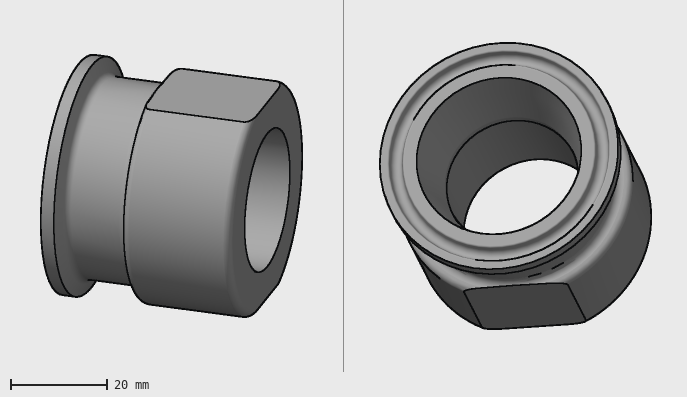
import cadquery as cq
import math

total_length = 41.25
flange_rim_width = 2.85
body_start = 17.55

flange_radius = 50.4 / 2
neck_radius = 42.6 / 2
body_radius = 49.5 / 2
half_across_flats = 44.35 / 2
fillet_radius = 1.6
flange_back_slope = 20.0

mouth_radius = 34.8 / 2
throat_radius = 28.1 / 2
taper_length = 14.2
throat_end = 16.05
socket_radius = 30.25 / 2

groove_center_radius = 21.8
groove_half_width = 1.8
groove_edge_radius = 0.4
groove_floor_radius = 1.25
groove_wall_angle = 20.0


def arc_point(center, radius, angle_degrees):
    """Point on a circle in the (X, radius) half-plane, angle measured from +X."""
    angle = math.radians(angle_degrees)
    return (
        center[0] + radius * math.cos(angle),
        center[1] + radius * math.sin(angle),
    )


def add_arc(profile, center, radius, start_angle, end_angle):
    """Draw a line to the arc's start, then the arc to its end."""
    return profile.lineTo(*arc_point(center, radius, start_angle)).threePointArc(
        arc_point(center, radius, (start_angle + end_angle) / 2),
        arc_point(center, radius, end_angle),
    )


def revolve_about_x(profile):
    return profile.close().revolve(360, (0, 0, 0), (1, 0, 0))


def make_outside():
    """Flange, neck and round body as one revolved solid."""
    neck_blend_r = neck_radius + fillet_radius
    body_blend_r = body_radius - fillet_radius
    slope = math.radians(flange_back_slope)
    cone_rise = flange_radius - neck_blend_r
    neck_start = flange_rim_width + (fillet_radius + cone_rise * math.sin(slope)) / math.cos(slope)
    profile = (
        cq.Workplane("XY")
        .lineTo(0, flange_radius)
        .lineTo(flange_rim_width, flange_radius)
    )
    blends = (
        ((neck_start, neck_blend_r), 180 + flange_back_slope, 270),
        ((body_start - fillet_radius, neck_blend_r), -90, 0),
        ((body_start + fillet_radius, body_blend_r), 180, 90),
        ((total_length - fillet_radius, body_blend_r), 90, 0),
    )
    for center, start_angle, end_angle in blends:
        profile = add_arc(profile, center, fillet_radius, start_angle, end_angle)
    return revolve_about_x(profile.lineTo(total_length, 0))


def cut_flats(part):
    """Two wrench flats, on the +Z and -Z sides of the body."""
    slab_start = body_start - fillet_radius
    slab_thickness = body_radius
    slab = cq.Workplane("XY").box(
        total_length - slab_start,
        2 * flange_radius,
        slab_thickness,
        centered=(False, True, True),
    )
    for side in (1, -1):
        slab_z = side * (half_across_flats + slab_thickness / 2)
        part = part.cut(slab.translate((slab_start, 0, slab_z)))
    return part


def make_bore():
    """Tapered entry blended into a short throat, then a wider socket."""
    taper_angle = math.degrees(math.atan2(mouth_radius - throat_radius, taper_length))
    blend_half_length = fillet_radius * math.tan(math.radians(taper_angle / 2))
    blend_center = (taper_length + blend_half_length, throat_radius + fillet_radius)
    profile = cq.Workplane("XY").lineTo(0, mouth_radius)
    profile = add_arc(profile, blend_center, fillet_radius, 270 - taper_angle, 270)
    profile = (
        profile
        .lineTo(throat_end, throat_radius)
        .lineTo(throat_end, socket_radius)
        .lineTo(total_length, socket_radius)
        .lineTo(total_length, 0)
    )
    return revolve_about_x(profile)


def make_groove():
    """Gasket groove with rounded edges, sloping walls and a round floor."""
    angle = math.radians(groove_wall_angle)
    radii_sum = groove_edge_radius + groove_floor_radius
    wall_length = (groove_half_width - radii_sum * math.cos(angle)) / math.sin(angle)
    floor_center_x = (
        groove_edge_radius
        + wall_length * math.cos(angle)
        - radii_sum * math.sin(angle)
    )
    floor_center = (floor_center_x, groove_center_radius)
    inner_edge = (groove_edge_radius, groove_center_radius - groove_half_width)
    outer_edge = (groove_edge_radius, groove_center_radius + groove_half_width)
    floor_end_angle = 90 - groove_wall_angle

    profile = cq.Workplane("XY").moveTo(0, groove_center_radius + groove_half_width)
    profile = add_arc(profile, inner_edge, groove_edge_radius, 180, 90 + groove_wall_angle)
    profile = add_arc(profile, floor_center, groove_floor_radius, -floor_end_angle, floor_end_angle)
    profile = add_arc(profile, outer_edge, groove_edge_radius, -90 - groove_wall_angle, -180)
    return revolve_about_x(profile)


result = cut_flats(make_outside()).cut(make_bore()).cut(make_groove())